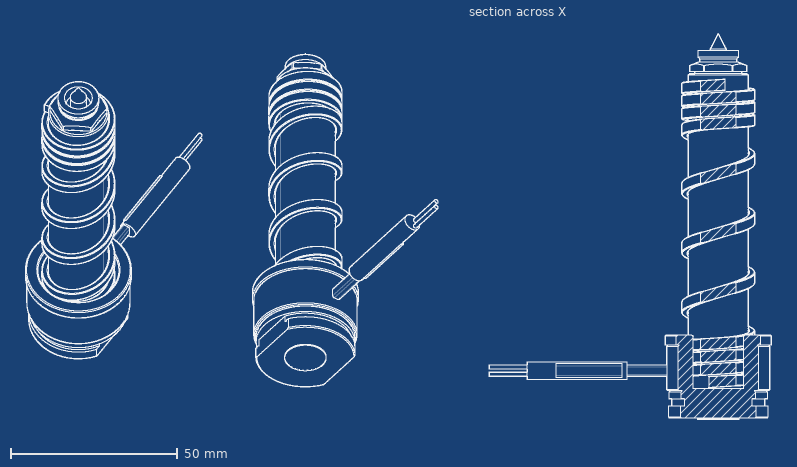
import cadquery as cq
import math

WRENCH_BOTTOM_Z = 0.3
WRENCH_TOP_Z = 4.1
NECK_TOP_Z = 6.2
BODY_BOTTOM_Z = 8.6
CUP_FLOOR_Z = 9.3
RIM_BOTTOM_Z = 22.3
RIM_TOP_Z = 25.5
CORE_TOP_Z = 104.1
HEX_BOTTOM_Z = 104.7
HEX_TOP_Z = 107.6
NOZZLE_BOTTOM_Z = 109.1
NOZZLE_TOP_Z = 111.1
NEEDLE_SHOULDER_Z = 111.4
TIP_Z = 116.2

BASE_PAD_RADIUS = 6.3
WRENCH_RADIUS = 15.0
WRENCH_FLAT_WIDTH = 24.3
NECK_RADIUS = 14.1
RING_RADIUS = 14.9
BODY_RADIUS = 15.6
RIM_DIAMETER = 32.0
RIM_RADIUS = RIM_DIAMETER / 2
CUP_RADIUS = 12.2
EDGE_CHAMFER = 0.3
CUP_CHAMFER = 0.3

CORE_RADIUS = 9.1
CORE_CHAMFER = 0.5
COLLAR_RADIUS = 7.1
HEX_ACROSS_FLATS = 15.1
HEX_CORNER_RADIUS = 8.6
HEX_CONE_TOP_RADIUS = 5.9
HEX_CONE_DROP = 1.0
NOZZLE_RADIUS = 6.2
NOZZLE_NECK_RADIUS = 5.6
BORE_TOP_RADIUS = 4.2
BORE_FLOOR_RADIUS = 3.7
BORE_DEPTH = 3.5
NEEDLE_RADIUS = 2.4

SPRING_OUTER_RADIUS = 11.0
SPRING_INNER_RADIUS = 8.8
WIRE_HEIGHT = 3.4
WIRE_OUTER_CHAMFER = 0.2
WIRE_INNER_CHAMFER = 0.6
SPRING_TOP_Z = 100.7
SPRING_TOP_ANGLE = 192
CLOSED_PITCH = 3.8
OPEN_PITCH = 17.9
CLOSED_TURNS = 3.05
RAMP_TURNS = 0.36
OPEN_TURNS = 3.26
POINTS_PER_TURN = 24

CABLE_Z = 14.6
CABLE_X = -0.7
CABLE_WIDTH = 2.5
CABLE_HEIGHT = 3.5
CABLE_FILLET = 0.6
CABLE_START_Y = 14.0
SLEEVE_RADIUS = 2.7
SLEEVE_START_Y = 27.4
SLEEVE_END_Y = 57.5
PLATE_HEIGHT = 4.2
PLATE_FILLET = 0.7
PLATE_START_Y = 28.9
PLATE_END_Y = 48.9
LEAD_RADIUS = 0.64
LEAD_X = -1.0
LEAD_SPACING = 2.2
OVERALL_LENGTH_Y = 85.0
LEAD_END_Y = OVERALL_LENGTH_Y - RIM_RADIUS
LEAD_OVERLAP = 1.2


def disc(radius, bottom_z, top_z):
    """Cylinder on the Z axis between two levels."""
    return cq.Workplane("XY").workplane(offset=bottom_z).circle(radius).extrude(top_z - bottom_z)


def revolve_profile(points):
    """Solid of revolution about Z from (radius, z) points."""
    return cq.Workplane("XZ").polyline(points).close().revolve(360, (0, 0, 0), (0, 1, 0))


def bar_along_y(sketch, start_y, end_y):
    """Extrude the closed outline that sketch draws in X and Z between two Y positions."""
    plane = cq.Plane(origin=(0, start_y, 0), xDir=(1, 0, 0), normal=(0, -1, 0))
    return sketch(cq.Workplane(plane)).extrude(start_y - end_y)


def make_base():
    """Round foot with two wrench flats facing X, on a thin pad."""
    foot = disc(WRENCH_RADIUS, WRENCH_BOTTOM_Z, WRENCH_TOP_Z).faces("<Z").chamfer(EDGE_CHAMFER)
    foot = foot.union(disc(NECK_RADIUS, WRENCH_TOP_Z, NECK_TOP_Z))
    flats = cq.Workplane("XY").box(WRENCH_FLAT_WIDTH, 2 * WRENCH_RADIUS, 2 * NECK_TOP_Z)
    pad = disc(BASE_PAD_RADIUS, 0, WRENCH_BOTTOM_Z)
    return foot.intersect(flats).union(pad)


def make_cup():
    """Ring, body and rim, divided by grooves where chamfers meet, with an open recess."""
    edge = EDGE_CHAMFER
    body = revolve_profile([
        (0, NECK_TOP_Z),
        (RING_RADIUS, NECK_TOP_Z),
        (RING_RADIUS, BODY_BOTTOM_Z - edge),
        (RING_RADIUS - edge, BODY_BOTTOM_Z),
        (BODY_RADIUS - edge, BODY_BOTTOM_Z),
        (BODY_RADIUS, BODY_BOTTOM_Z + edge),
        (BODY_RADIUS, RIM_BOTTOM_Z - edge),
        (BODY_RADIUS - edge, RIM_BOTTOM_Z),
        (RIM_RADIUS, RIM_BOTTOM_Z),
        (RIM_RADIUS, RIM_TOP_Z - edge),
        (RIM_RADIUS - edge, RIM_TOP_Z),
        (0, RIM_TOP_Z),
    ])
    recess = revolve_profile([
        (0, CUP_FLOOR_Z),
        (CUP_RADIUS, CUP_FLOOR_Z),
        (CUP_RADIUS, RIM_TOP_Z - CUP_CHAMFER),
        (CUP_RADIUS + CUP_CHAMFER, RIM_TOP_Z),
        (0, RIM_TOP_Z),
    ])
    return body.cut(recess)


def make_core():
    """Long cylinder rising from the cup floor, with a collar under the hexagon."""
    core = disc(CORE_RADIUS, CUP_FLOOR_Z, CORE_TOP_Z).faces(">Z").chamfer(CORE_CHAMFER)
    return core.union(disc(COLLAR_RADIUS, CORE_TOP_Z, HEX_BOTTOM_Z))


def make_hexagon():
    """Hexagon with corners on +Y and -Y, trimmed round and given a conical top."""
    hexagon = (
        cq.Workplane("XY")
        .workplane(offset=HEX_BOTTOM_Z)
        .polygon(6, HEX_ACROSS_FLATS, circumscribed=True)
        .extrude(HEX_TOP_Z - HEX_BOTTOM_Z)
    )
    envelope = revolve_profile([
        (0, HEX_BOTTOM_Z),
        (HEX_CORNER_RADIUS, HEX_BOTTOM_Z),
        (HEX_CORNER_RADIUS, HEX_TOP_Z - HEX_CONE_DROP),
        (HEX_CONE_TOP_RADIUS, HEX_TOP_Z),
        (0, HEX_TOP_Z),
    ])
    return hexagon.intersect(envelope)


def make_nozzle():
    """Nozzle with a bevelled underside, its neck reaching down through the hexagon."""
    undercut = NOZZLE_RADIUS - NOZZLE_NECK_RADIUS
    return revolve_profile([
        (0, HEX_BOTTOM_Z),
        (NOZZLE_NECK_RADIUS, HEX_BOTTOM_Z),
        (NOZZLE_NECK_RADIUS, NOZZLE_BOTTOM_Z - undercut),
        (NOZZLE_RADIUS, NOZZLE_BOTTOM_Z),
        (NOZZLE_RADIUS, NOZZLE_TOP_Z),
        (0, NOZZLE_TOP_Z),
    ])


def make_bore():
    """Slightly tapered recess around the needle."""
    floor_z = NOZZLE_TOP_Z - BORE_DEPTH
    return revolve_profile([
        (0, floor_z),
        (BORE_FLOOR_RADIUS, floor_z),
        (BORE_TOP_RADIUS, NOZZLE_TOP_Z),
        (0, NOZZLE_TOP_Z),
    ])


def make_needle():
    """Round pin with a conical tip."""
    return revolve_profile([
        (0, HEX_BOTTOM_Z),
        (NEEDLE_RADIUS, HEX_BOTTOM_Z),
        (NEEDLE_RADIUS, NEEDLE_SHOULDER_Z),
        (0, TIP_Z),
    ])


def spring_drop(turns):
    """Height lost by the wire after a number of turns down from the top end."""
    pitch_growth = (OPEN_PITCH - CLOSED_PITCH) / RAMP_TURNS
    sections = (
        (CLOSED_TURNS, CLOSED_PITCH, 0),
        (RAMP_TURNS, CLOSED_PITCH, pitch_growth),
        (OPEN_TURNS, OPEN_PITCH, 0),
        (RAMP_TURNS, OPEN_PITCH, -pitch_growth),
        (CLOSED_TURNS, CLOSED_PITCH, 0),
    )
    drop = 0
    for length, start_pitch, growth in sections:
        covered = min(max(turns, 0), length)
        drop += start_pitch * covered + growth * covered**2 / 2
        turns -= length
    return drop


def make_spring():
    """Right-handed spring whose wire profile is a rectangle with chamfered corners."""
    half = WIRE_HEIGHT / 2
    outer_shoulder = SPRING_OUTER_RADIUS - WIRE_OUTER_CHAMFER
    inner_shoulder = SPRING_INNER_RADIUS + WIRE_INNER_CHAMFER
    outer_half = half - WIRE_OUTER_CHAMFER
    inner_half = half - WIRE_INNER_CHAMFER
    profile = [
        (SPRING_INNER_RADIUS, -inner_half),
        (inner_shoulder, -half),
        (outer_shoulder, -half),
        (SPRING_OUTER_RADIUS, -outer_half),
        (SPRING_OUTER_RADIUS, outer_half),
        (outer_shoulder, half),
        (inner_shoulder, half),
        (SPRING_INNER_RADIUS, inner_half),
    ]

    total_turns = 2 * CLOSED_TURNS + 2 * RAMP_TURNS + OPEN_TURNS

    def wire_point(radius, height, turns):
        angle = math.radians(SPRING_TOP_ANGLE - 360 * turns)
        z = SPRING_TOP_Z + height - spring_drop(turns)
        return cq.Vector(radius * math.cos(angle), radius * math.sin(angle), z)

    steps = math.ceil(total_turns * POINTS_PER_TURN)
    stations = [total_turns * i / steps for i in range(steps + 1)]
    edges = [
        cq.Edge.makeSpline([wire_point(radius, height, turns) for turns in stations])
        for radius, height in profile
    ]
    faces = [cq.Face.makeRuledSurface(edges[i - 1], edges[i]) for i in range(len(edges))]
    for turns in (0, total_turns):
        corners = [wire_point(radius, height, turns) for radius, height in profile]
        faces.append(cq.Face.makeFromWires(cq.Wire.makePolygon(corners, close=True)))
    return cq.Workplane(cq.Solid.makeSolid(cq.Shell.makeShell(faces)))


def make_cable():
    """Flat cable, sleeve with a plate on its -X side, and two leads one above the other."""
    cable = bar_along_y(
        lambda w: w.center(CABLE_X, CABLE_Z).rect(CABLE_WIDTH, CABLE_HEIGHT),
        CABLE_START_Y, SLEEVE_START_Y,
    ).edges("|Y").fillet(CABLE_FILLET)
    sleeve = bar_along_y(
        lambda w: w.center(0, CABLE_Z).circle(SLEEVE_RADIUS),
        SLEEVE_START_Y, SLEEVE_END_Y,
    )
    plate = bar_along_y(
        lambda w: w.center(-SLEEVE_RADIUS / 2, CABLE_Z).rect(SLEEVE_RADIUS, PLATE_HEIGHT),
        PLATE_START_Y, PLATE_END_Y,
    ).edges("|Y and <X").fillet(PLATE_FILLET)
    leads = bar_along_y(
        lambda w: w.center(LEAD_X, CABLE_Z).rarray(1.2, LEAD_SPACING, 1, 2).circle(LEAD_RADIUS),
        SLEEVE_END_Y - LEAD_OVERLAP, LEAD_END_Y,
    )
    return cable.union(sleeve).union(plate).union(leads)


head = make_core().union(make_hexagon()).union(make_nozzle()).cut(make_bore()).union(make_needle())
body = make_base().union(make_cup()).union(head)
result = body.union(make_spring()).union(make_cable())